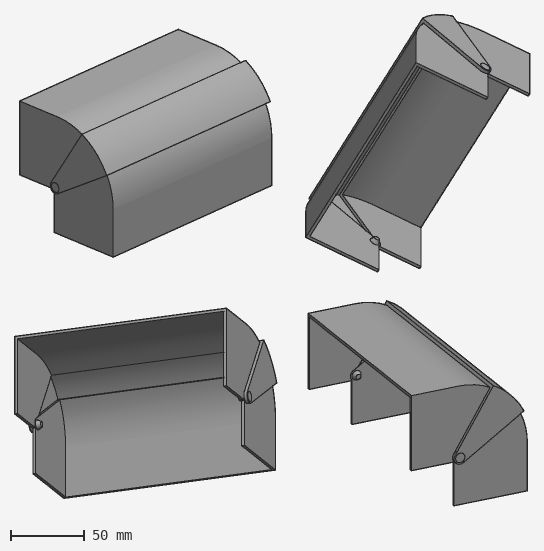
import cadquery as cq
import math


total_width = 159.7
overall_reach = 88.0
bend_radius = 52.2
wall = 2.0
edge_drop = 3.4

hood_wall = 2.4
hub_radius = 4.6
edge_tilt = math.radians(32.3)
lap_offset = 2.0

pin_radius = 3.5
tip_radius = 1.9
tip_length = 3.0

straight = overall_reach - bend_radius
channel_width = total_width - 2 * hood_wall
inner_width = channel_width - 2 * wall
hood_radius = bend_radius + hood_wall


def at(radius, angle):
    """Point at a radius and angle about the hinge axis, in the XZ plane."""
    return (radius * math.cos(angle), radius * math.sin(angle))


def line_end_angle(radius, direction, offset):
    """Angle where a line, offset to the left of the hinge axis, reaches a radius."""
    return direction + math.asin(offset / radius)


def across(profile, width):
    """Extrude an XZ profile to a width centred on the XZ plane."""
    return profile.extrude(width / 2, both=True)


def bend_space(radius, width):
    """Block under the bend: straight sides joined by a quarter round."""
    profile = (
        cq.Workplane("XZ")
        .moveTo(-straight, radius)
        .lineTo(0, radius)
        .threePointArc(at(radius, math.pi / 4), (radius, 0))
        .lineTo(radius, -straight)
        .lineTo(-straight, -straight)
        .close()
    )
    return across(profile, width)


def hinge_cylinder(radius):
    return across(cq.Workplane("XZ").circle(radius), total_width)


def make_hood():
    """Curved hood whose cheeks taper to a rounded hub at the hinge."""
    upper_direction = math.pi / 2 - edge_tilt
    upper_end = line_end_angle(hood_radius, upper_direction, hub_radius)
    lower_end = math.pi / 2 - upper_end
    hub_upper = upper_direction + math.pi / 2
    hub_lower = edge_tilt - math.pi / 2
    profile = (
        cq.Workplane("XZ")
        .moveTo(*at(hub_radius, hub_upper))
        .lineTo(*at(hood_radius, upper_end))
        .threePointArc(at(hood_radius, math.pi / 4), at(hood_radius, lower_end))
        .lineTo(*at(hub_radius, hub_lower))
        .threePointArc(at(hub_radius, math.pi * 5 / 4), at(hub_radius, hub_upper))
        .close()
    )
    return across(profile, total_width).cut(bend_space(bend_radius, channel_width))


def make_hooded_channel(plain_channel):
    """Channel open toward -X, lapped under the hood and notched where the plain channel fits."""
    direction = math.pi / 2 - edge_tilt
    end = line_end_angle(bend_radius, direction, lap_offset)
    profile = (
        cq.Workplane("XZ")
        .moveTo(-straight, -edge_drop)
        .lineTo(-straight, bend_radius)
        .lineTo(0, bend_radius)
        .threePointArc(at(bend_radius, (end + math.pi / 2) / 2), at(bend_radius, end))
        .lineTo(*at(lap_offset, direction + math.pi / 2))
        .lineTo(-edge_drop, 0)
        .lineTo(-edge_drop, -edge_drop)
        .close()
    )
    channel = across(profile, channel_width)
    channel = channel.cut(bend_space(bend_radius - wall, inner_width))
    channel = channel.cut(plain_channel)
    return channel.union(make_hood()).cut(hinge_cylinder(pin_radius))


def make_plain_channel():
    """Channel open toward -Z, with hubs on its cheeks and its end inside the hood."""
    end = line_end_angle(bend_radius, edge_tilt, hub_radius)
    hub_start = math.pi + math.acos(edge_drop / hub_radius)
    hub_end = edge_tilt + math.pi / 2
    profile = (
        cq.Workplane("XZ")
        .moveTo(bend_radius, -straight)
        .lineTo(-edge_drop, -straight)
        .lineTo(*at(hub_radius, hub_start))
        .threePointArc(at(hub_radius, (hub_start + hub_end) / 2), at(hub_radius, hub_end))
        .lineTo(*at(bend_radius, end))
        .threePointArc(at(bend_radius, end / 2), (bend_radius, 0))
        .close()
    )
    channel = across(profile, channel_width)
    channel = channel.cut(bend_space(bend_radius - wall, inner_width))
    return channel.cut(hinge_cylinder(pin_radius))


def make_pin(side):
    """Pin flush with the hood cheek on one side, with a tapered tip inside."""
    inner_face = inner_width / 2
    tip_face = inner_face - tip_length
    profile = (
        cq.Workplane("XY")
        .moveTo(0, side * total_width / 2)
        .lineTo(pin_radius, side * total_width / 2)
        .lineTo(pin_radius, side * inner_face)
        .lineTo(tip_radius, side * tip_face)
        .lineTo(0, side * tip_face)
        .close()
    )
    return profile.revolve(360, (0, 0, 0), (0, 1, 0))


plain_channel = make_plain_channel()
hooded_channel = make_hooded_channel(plain_channel)
pins = [make_pin(side) for side in (-1, 1)]

result = cq.Compound.makeCompound(
    [hooded_channel.solids().val(), plain_channel.solids().val(), *[pin.val() for pin in pins]]
)